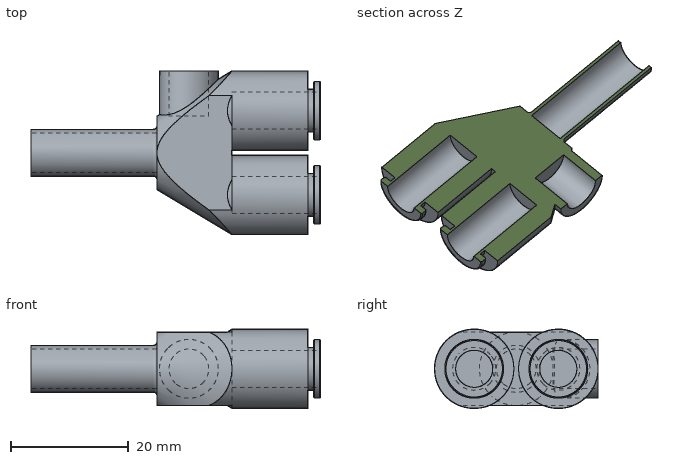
import cadquery as cq


stem_length = 21.44
stem_radius = 4.0
stem_bore_radius = 3.37
stem_root_fillet = 0.6

socket_radius = 6.75
socket_offset = 7.15
socket_positions = (-socket_offset, socket_offset)
socket_end = 25.65
socket_taper_length = 0.75
collar_neck_radius = 3.65
collar_bore_radius = 3.15
collar_flange_radius = 5.0
collar_flange_start = 26.6
collar_end = 27.82
collar_edge_chamfer = 0.2

body_length = 12.73
body_front_radius = 6.25
body_half_height = body_front_radius
half_width = socket_offset + socket_radius

stub_radius = 5.0
stub_bore_radius = 3.37
stub_x = 5.42
stub_bore_bottom = body_front_radius


def cylinder_x(radius, start, end, y=0):
    """Round bar parallel to X between two X positions."""
    plane = cq.Workplane("YZ", origin=(start, y, 0))
    return plane.circle(radius).extrude(end - start)


def cylinder_y(radius, start, end, x):
    """Round bar parallel to Y between two Y positions."""
    plane = cq.Workplane("XZ", origin=(x, start, 0))
    return plane.circle(radius).extrude(start - end)


def make_body_and_sockets():
    """Two socket barrels joined by a web, cut to a cone at the front and flat above and below."""
    web = cq.Workplane("XY").box(
        body_length, 2 * socket_offset, 2 * body_half_height, centered=(False, True, True)
    )
    barrels = web
    for y in socket_positions:
        barrels = barrels.union(cylinder_x(socket_radius, 0, socket_end, y))

    cone_slope = (half_width - body_front_radius) / body_length
    cone_end_radius = body_front_radius + cone_slope * socket_end
    cone = (
        cq.Workplane("XY")
        .polyline([(0, 0), (0, body_front_radius), (socket_end, cone_end_radius), (socket_end, 0)])
        .close()
        .revolve(360, (0, 0, 0), (1, 0, 0))
    )
    body = barrels.intersect(cone)

    trim_height = socket_radius - body_half_height
    trim_block = cq.Workplane("XY").box(
        body_length, 2 * half_width, trim_height, centered=(False, True, False)
    )
    body = body.cut(trim_block.translate((0, 0, body_half_height)))
    return body.cut(trim_block.translate((0, 0, -socket_radius)))


def make_socket_taper(y):
    """Tapered front end of a socket barrel, showing as a lens above each body flat."""
    plane = cq.Workplane("YZ", origin=(body_length - socket_taper_length, y, 0))
    return (
        plane.circle(body_half_height)
        .workplane(offset=socket_taper_length)
        .circle(socket_radius)
        .loft(ruled=True)
    )


def make_collar(y):
    """Release collar: narrow neck carrying a flange with broken edges."""
    neck = cylinder_x(collar_neck_radius, socket_end, collar_flange_start, y)
    flange = cylinder_x(collar_flange_radius, collar_flange_start, collar_end, y)
    return neck.union(flange.edges().chamfer(collar_edge_chamfer))


def make_stem():
    """Stem tube with a concave fillet flaring into the front face of the body."""
    flare_radius = stem_radius + stem_root_fillet
    mid_drop = stem_root_fillet * (1 - 0.5 ** 0.5)
    profile = (
        cq.Workplane("XY")
        .moveTo(-stem_length, 0)
        .lineTo(-stem_length, stem_radius)
        .lineTo(-stem_root_fillet, stem_radius)
        .threePointArc((-mid_drop, stem_radius + mid_drop), (0, flare_radius))
        .lineTo(0, 0)
        .close()
    )
    return profile.revolve(360, (0, 0, 0), (1, 0, 0))


result = make_body_and_sockets().union(make_stem())
result = result.union(cylinder_y(stub_radius, 0, half_width, stub_x))

for socket_y in socket_positions:
    result = result.union(make_socket_taper(socket_y)).union(make_collar(socket_y))
    result = result.cut(cylinder_x(collar_bore_radius, body_length, collar_end, socket_y))

result = result.cut(cylinder_x(stem_bore_radius, -stem_length, 0))
result = result.cut(cylinder_y(stub_bore_radius, stub_bore_bottom, half_width, stub_x))